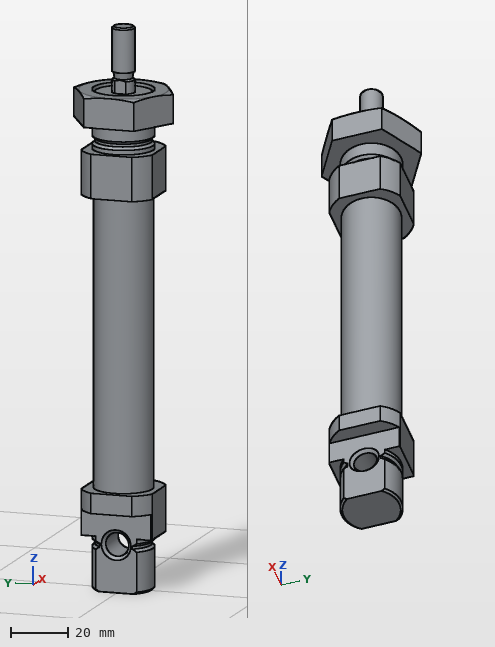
import cadquery as cq
import math

TOTAL_LENGTH = 202.0
NUT_TOP = 179.4
NUT_RECESS = 1.0
HOUSING_TOP = NUT_TOP - NUT_RECESS

BARREL_DIAMETER = 21.2
CAP_WIDTH = 26.3
CAP_CORNER_DIAMETER = 30.3
REAR_CAP_BOTTOM = 19.8
REAR_CAP_TOP = 36.4
FRONT_CAP_BOTTOM = 142.2
FRONT_CAP_TOP = 158.2

SPIGOT_DIAMETER = 22.0
SPIGOT_CHAMFER = 0.8
COLLAR_LENGTH = 1.6
RELIEF_DIAMETER = 20.0
RELIEF_WIDTH = 3.0
FRONT_RELIEF_BOTTOM = FRONT_CAP_TOP + COLLAR_LENGTH
REAR_RELIEF_BOTTOM = REAR_CAP_BOTTOM - COLLAR_LENGTH - RELIEF_WIDTH

EYE_THICKNESS = 16.0
EYE_TOP = 29.0
EYE_HOLE_DIAMETER = 8.5
EYE_HOLE_HEIGHT = 17.2
EYE_COUNTERSINK_DIAMETER = 11.0
EYE_COUNTERSINK = (EYE_COUNTERSINK_DIAMETER - EYE_HOLE_DIAMETER) / 2

ROD_DIAMETER = 8.0
ROD_TIP_CHAMFER = 0.6
ROD_THREAD_BOTTOM = 185.8
ROD_NECK_DIAMETER = 6.5
ROD_NECK_UPPER_DIAMETER = 7.3
ROD_NECK_BOTTOM = 183.5
ROD_SHOULDER_HEIGHT = 0.6
ROD_FLAT_WIDTH = 7.0
ROD_BOTTOM = FRONT_CAP_BOTTOM

NUT_WIDTH = 32.0
NUT_HEIGHT = 11.1
NUT_CHAMFER_HEIGHT = 0.8
NUT_FACE_DIAMETER = 31.5


def cylinder(diameter, bottom, top):
    """Upright cylinder on the part axis between two heights."""
    return cq.Workplane("XY").workplane(offset=bottom).circle(diameter / 2).extrude(top - bottom)


def cut_two_flats(body, width, diameter, bottom, top):
    """Cut flats facing -X and +X into a body that lies within the given diameter."""
    for side in (-1, 1):
        centre = side * (width + diameter) / 2
        waste = cq.Workplane("XY").workplane(offset=bottom).center(centre, 0)
        body = body.cut(waste.rect(diameter, diameter).extrude(top - bottom))
    return body


def end_cap(bottom, top):
    """Square block whose corners are rounded by a cylinder on the part axis."""
    block = cq.Workplane("XY").workplane(offset=bottom).rect(CAP_WIDTH, CAP_WIDTH).extrude(top - bottom)
    return block.intersect(cylinder(CAP_CORNER_DIAMETER, bottom, top))


def thread_relief(bottom):
    """Ring to cut from a spigot: a groove with 45 degree sides."""
    outer = SPIGOT_DIAMETER / 2
    inner = RELIEF_DIAMETER / 2
    depth = outer - inner
    top = bottom + RELIEF_WIDTH
    profile = [(outer, bottom), (inner, bottom + depth), (inner, top - depth), (outer, top)]
    return cq.Workplane("XZ").polyline(profile).close().revolve(360, (0, 0, 0), (0, 1, 0))


def eye_hole():
    """Cross hole along X with a countersink at both faces of the eye."""
    half = EYE_THICKNESS / 2
    hole = EYE_HOLE_DIAMETER / 2
    mouth = EYE_COUNTERSINK_DIAMETER / 2
    shoulder = half - EYE_COUNTERSINK
    profile = [(-half, 0), (-half, mouth), (-shoulder, hole), (shoulder, hole), (half, mouth), (half, 0)]
    cutter = cq.Workplane("XY").polyline(profile).close().revolve(360, (0, 0, 0), (1, 0, 0))
    return cutter.translate((0, 0, EYE_HOLE_HEIGHT))


def make_housing():
    rear_spigot = cylinder(SPIGOT_DIAMETER, 0, REAR_CAP_BOTTOM).faces("<Z").chamfer(SPIGOT_CHAMFER)
    front_spigot = cylinder(SPIGOT_DIAMETER, FRONT_CAP_TOP, HOUSING_TOP).faces(">Z").chamfer(SPIGOT_CHAMFER)
    rear_end = rear_spigot.union(end_cap(REAR_CAP_BOTTOM, REAR_CAP_TOP))
    rear_end = rear_end.cut(thread_relief(REAR_RELIEF_BOTTOM))
    front_end = front_spigot.union(end_cap(FRONT_CAP_BOTTOM, FRONT_CAP_TOP))
    front_end = front_end.cut(thread_relief(FRONT_RELIEF_BOTTOM))

    rear_end = cut_two_flats(rear_end, EYE_THICKNESS, CAP_CORNER_DIAMETER, 0, EYE_TOP)
    rear_end = rear_end.cut(eye_hole())

    barrel = cylinder(BARREL_DIAMETER, REAR_CAP_TOP, FRONT_CAP_BOTTOM)
    housing = rear_end.union(barrel).union(front_end)
    return housing.cut(cylinder(ROD_DIAMETER, ROD_BOTTOM, HOUSING_TOP))


def make_rod():
    rod = cylinder(ROD_DIAMETER, ROD_BOTTOM, TOTAL_LENGTH).faces(">Z").chamfer(ROD_TIP_CHAMFER)

    outer = ROD_DIAMETER / 2
    inner = ROD_NECK_DIAMETER / 2
    profile = [
        (outer, ROD_THREAD_BOTTOM),
        (ROD_NECK_UPPER_DIAMETER / 2, ROD_THREAD_BOTTOM),
        (inner, ROD_NECK_BOTTOM),
        (outer, ROD_NECK_BOTTOM - ROD_SHOULDER_HEIGHT),
    ]
    rod = rod.cut(cq.Workplane("XZ").polyline(profile).close().revolve(360, (0, 0, 0), (0, 1, 0)))

    return cut_two_flats(rod, ROD_FLAT_WIDTH, ROD_DIAMETER, HOUSING_TOP, ROD_NECK_BOTTOM)


def make_nut():
    across_corners = NUT_WIDTH / math.cos(math.radians(30))
    bottom = NUT_TOP - NUT_HEIGHT
    nut = cq.Workplane("XY").polygon(6, across_corners).extrude(NUT_HEIGHT)
    nut = nut.rotate((0, 0, 0), (0, 0, 1), 30).translate((0, 0, bottom))

    corner_radius = across_corners / 2
    top_radius = NUT_FACE_DIAMETER / 2
    profile = [
        (0, bottom),
        (corner_radius, bottom),
        (corner_radius, NUT_TOP - NUT_CHAMFER_HEIGHT),
        (top_radius, NUT_TOP),
        (0, NUT_TOP),
    ]
    envelope = cq.Workplane("XZ").polyline(profile).close().revolve(360, (0, 0, 0), (0, 1, 0))
    return nut.intersect(envelope).cut(cylinder(SPIGOT_DIAMETER, bottom, NUT_TOP))


housing = make_housing()
rod = make_rod()
nut = make_nut()
result = cq.Compound.makeCompound([housing.val(), rod.val(), nut.val()])